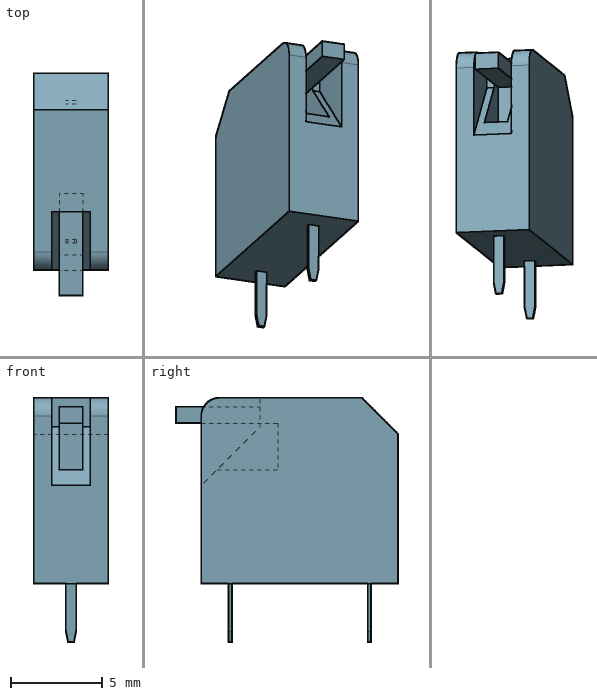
import cadquery as cq

overall_length = 12.2
overall_height = 13.4
body_width = 4.1
body_length = 10.8
pin_length = 3.2
body_height = overall_height - pin_length
front_radius = 1.0
rear_chamfer = 2.0

slot_width = 2.1
slot_length = 3.2
slot_front_depth = 4.8
slot_rear_depth = slot_front_depth - slot_length

lever_width = 1.3
lever_thickness = 0.9
lever_overhang = overall_length - body_length
lever_drop = 0.5
pocket_depth = 3.97
pocket_rear_reach = 1.0

pin_width = 0.58
pin_thickness = 0.2
pin_tip_width = 0.34
pin_tip_length = 0.6
front_pin_y = 1.6
pin_pitch = 7.62


def make_housing():
    block = cq.Workplane("XY").box(
        body_width, body_length, body_height, centered=(True, False, False)
    )
    block = block.edges(">Z and <Y").fillet(front_radius)
    return block.edges(">Z and >Y").chamfer(rear_chamfer)


def make_slot():
    return (
        cq.Workplane("YZ")
        .moveTo(0, body_height)
        .lineTo(0, body_height - slot_front_depth)
        .lineTo(slot_length, body_height - slot_rear_depth)
        .lineTo(slot_length, body_height)
        .close()
        .extrude(slot_width / 2, both=True)
    )


def make_pocket():
    pocket_length = slot_length + pocket_rear_reach
    pocket_height = pocket_depth - lever_drop
    return (
        cq.Workplane("XY", origin=(0, 0, body_height - pocket_depth))
        .box(lever_width, pocket_length, pocket_height, centered=(True, False, False))
    )


def make_lever():
    lever_bottom = body_height - lever_drop - lever_thickness
    return (
        cq.Workplane("XY", origin=(0, -lever_overhang, lever_bottom))
        .box(
            lever_width,
            lever_overhang + slot_length + pocket_rear_reach,
            lever_thickness,
            centered=(True, False, False),
        )
    )


def make_pin(y_center):
    tip_start = pin_tip_length - pin_length
    return (
        cq.Workplane("XZ", origin=(0, y_center, 0))
        .moveTo(-pin_width / 2, 0)
        .lineTo(-pin_width / 2, tip_start)
        .lineTo(-pin_tip_width / 2, -pin_length)
        .lineTo(pin_tip_width / 2, -pin_length)
        .lineTo(pin_width / 2, tip_start)
        .lineTo(pin_width / 2, 0)
        .close()
        .extrude(pin_thickness / 2, both=True)
    )


result = make_housing().cut(make_slot()).cut(make_pocket()).union(make_lever())
for pin_y in (front_pin_y, front_pin_y + pin_pitch):
    result = result.union(make_pin(pin_y))